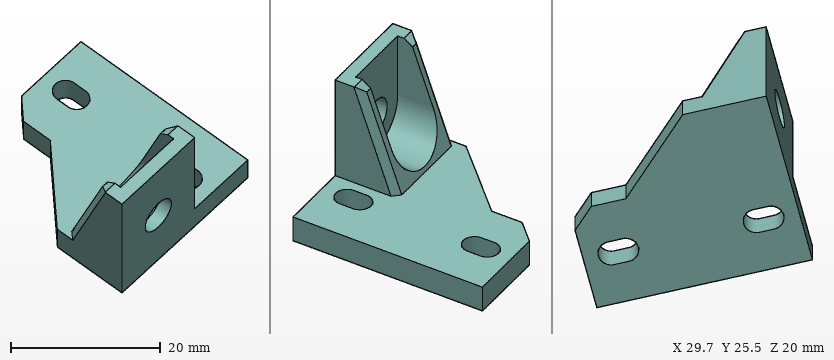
import cadquery as cq
import math

plate_length = 29.7
plate_depth = 25.45
plate_thickness = 4.0
strip_depth = 15.0
corner_cut = 3.0
step_length = 7.75
strip_front = plate_depth - strip_depth

slot_width = 3.5
slot_length = 5.5
slot_end_distance = 4.85
slot_back_distance = 7.5

bracket_width = 14.7
bracket_height = 20.0
bracket_top_depth = 4.0
face_angle = 20.0
bracket_chamfer = 1.0

pocket_width = 10.7
back_wall = 2.0
hole_diameter = 5.3
hole_height = 10.0
hole_y = bracket_width / 2


def make_plate():
    """Flat plate with a cut corner and a 45 degree diagonal front edge."""
    return (
        cq.Workplane("XY")
        .moveTo(0, plate_depth)
        .lineTo(plate_length, plate_depth)
        .lineTo(plate_length, 0)
        .lineTo(step_length + strip_front, 0)
        .lineTo(step_length, strip_front)
        .lineTo(corner_cut, strip_front)
        .lineTo(0, strip_front + corner_cut)
        .close()
        .extrude(plate_thickness)
    )


def make_slots():
    """Two through slots, elongated along X."""
    slot_y = plate_depth - slot_back_distance
    centres = [(slot_end_distance, slot_y), (plate_length - slot_end_distance, slot_y)]
    return (
        cq.Workplane("XY")
        .pushPoints(centres)
        .slot2D(slot_length, slot_width)
        .extrude(plate_thickness)
    )


def make_bracket():
    """Wedge-shaped upright, chamfered on the sides and top of its sloping face."""
    rise = bracket_height - plate_thickness
    foot_depth = bracket_top_depth + rise * math.tan(math.radians(face_angle))
    wedge = (
        cq.Workplane("XZ")
        .moveTo(plate_length, plate_thickness)
        .lineTo(plate_length, bracket_height)
        .lineTo(plate_length - bracket_top_depth, bracket_height)
        .lineTo(plate_length - foot_depth, plate_thickness)
        .close()
        .extrude(-bracket_width)
    )
    sloping_face_edges = wedge.faces("<X").edges("not(<Z)")
    return sloping_face_edges.chamfer(bracket_chamfer)


def make_pocket():
    """U-shaped cutter, open at the top and towards -X, leaving the back wall."""
    radius = pocket_width / 2
    return (
        cq.Workplane("YZ")
        .moveTo(hole_y - radius, bracket_height)
        .lineTo(hole_y - radius, hole_height)
        .threePointArc((hole_y, hole_height - radius), (hole_y + radius, hole_height))
        .lineTo(hole_y + radius, bracket_height)
        .close()
        .extrude(plate_length - back_wall)
    )


def make_bolt_hole():
    """Cylinder along X that passes through the back wall."""
    return (
        cq.Workplane("YZ")
        .center(hole_y, hole_height)
        .circle(hole_diameter / 2)
        .extrude(plate_length)
    )


plate = make_plate().cut(make_slots())
bracket = make_bracket().cut(make_pocket()).cut(make_bolt_hole())
result = plate.union(bracket)